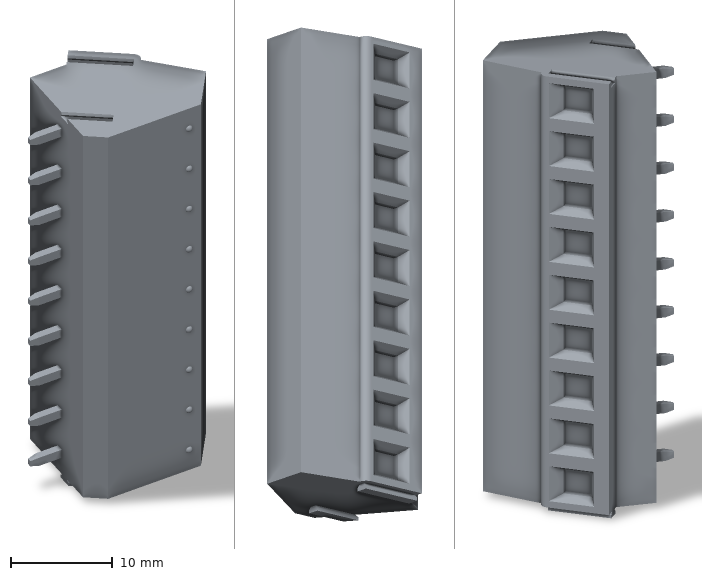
import cadquery as cq
import math


POLES = 9
BODY_HEIGHT = 45.7
PITCH = BODY_HEIGHT / POLES

BODY_WIDTH = 12.0
BODY_DEPTH = 15.55
PEAK_X = 7.75
RIGHT_FACE_TOP = 12.55
CHAMFER_START_X = 10.55
CHAMFER_END_Y = 2.05

LIP_ANGLE = 55.0
LIP_TIP = (-1.85, 5.4)
LIP_LENGTH = 6.5
LIP_ROUND_END = (3.0, 10.9)

MOUTH_LENGTH = 4.7
MOUTH_HEIGHT = 3.7
MOUTH_CENTRE = 3.9
THROAT_LENGTH = 2.95
THROAT_HEIGHT = 2.6
THROAT_CENTRE = 3.6
FUNNEL_DEPTH = 1.1
THROAT_DEPTH = 0.65

PIN_X = 5.95
PIN_WIDTH = 0.8
PIN_HEIGHT = 1.0
PIN_TIP_WIDTH = 0.45
PIN_TIP_HEIGHT = 0.65
PIN_SHANK = 2.55
PIN_TIP = 0.93

BUMP_Y = 11.2
BUMP_RADIUS = 0.35
BUMP_RISE = 0.3

RIB_NECK = 0.75
GROOVE_NECK = 1.05
GROOVE_WAIST = 0.85
DOVETAIL_WIDTH = 1.25
DOVETAIL_SHOULDER = 0.3
DOVETAIL_RISE = 0.6
LIP_DOVETAIL_OFFSET = 1.35
LIP_DOVETAIL_LENGTH = 6.6
PIN_DOVETAIL_X = 6.85
PIN_DOVETAIL_LENGTH = 4.8

ALONG_X = math.cos(math.radians(LIP_ANGLE))
ALONG_Y = math.sin(math.radians(LIP_ANGLE))
INWARD_X = ALONG_Y
INWARD_Y = -ALONG_X


def pole_heights():
    return [(pole + 0.5) * PITCH for pole in range(POLES)]


def make_housing():
    lip_tip_x, lip_tip_y = LIP_TIP
    lip_top = (lip_tip_x + LIP_LENGTH * ALONG_X, lip_tip_y + LIP_LENGTH * ALONG_Y)
    left_face_top = lip_tip_y + lip_tip_x * ALONG_X / ALONG_Y
    return (
        cq.Workplane("XY")
        .moveTo(0, left_face_top)
        .lineTo(*LIP_TIP)
        .lineTo(*lip_top)
        .tangentArcPoint(LIP_ROUND_END, relative=False)
        .lineTo(PEAK_X, BODY_DEPTH)
        .lineTo(BODY_WIDTH, RIGHT_FACE_TOP)
        .lineTo(BODY_WIDTH, CHAMFER_END_Y)
        .lineTo(CHAMFER_START_X, 0)
        .lineTo(0, 0)
        .close()
        .extrude(BODY_HEIGHT)
    )


def make_wire_entry(height):
    lip_face = cq.Plane(
        origin=(*LIP_TIP, height),
        xDir=(ALONG_X, ALONG_Y, 0),
        normal=(INWARD_X, INWARD_Y, 0),
    )
    funnel = (
        cq.Workplane(lip_face)
        .center(MOUTH_CENTRE, 0)
        .rect(MOUTH_LENGTH, MOUTH_HEIGHT)
        .workplane(offset=FUNNEL_DEPTH)
        .center(THROAT_CENTRE - MOUTH_CENTRE, 0)
        .rect(THROAT_LENGTH, THROAT_HEIGHT)
        .loft()
    )
    throat = (
        cq.Workplane(lip_face)
        .center(THROAT_CENTRE, 0)
        .rect(THROAT_LENGTH, THROAT_HEIGHT)
        .extrude(FUNNEL_DEPTH + THROAT_DEPTH)
    )
    return funnel.union(throat)


def make_pin(height):
    shank = cq.Workplane("XZ").center(PIN_X, height).rect(PIN_WIDTH, PIN_HEIGHT).extrude(PIN_SHANK)
    tip = (
        shank.faces("<Y")
        .workplane(centerOption="CenterOfMass")
        .rect(PIN_WIDTH, PIN_HEIGHT)
        .workplane(offset=PIN_TIP)
        .rect(PIN_TIP_WIDTH, PIN_TIP_HEIGHT)
        .loft(combine=False)
    )
    return shank.union(tip)


def make_bump(height):
    ball_radius = (BUMP_RADIUS**2 + BUMP_RISE**2) / (2 * BUMP_RISE)
    half_angle = math.asin(BUMP_RADIUS / ball_radius) / 2
    arc_middle = (
        BUMP_RISE - ball_radius * (1 - math.cos(half_angle)),
        ball_radius * math.sin(half_angle),
    )
    return (
        cq.Workplane("XY", origin=(BODY_WIDTH, BUMP_Y, height))
        .lineTo(0, BUMP_RADIUS)
        .threePointArc(arc_middle, (BUMP_RISE, 0))
        .close()
        .revolve(360, (0, 0), (1, 0))
    )


def make_dovetail(start, length, base_height, neck, shoulder_width):
    section_plane = cq.Plane(
        origin=(*start, base_height),
        xDir=(INWARD_X, INWARD_Y, 0),
        normal=(ALONG_X, ALONG_Y, 0),
    )
    right_side = [
        (neck / 2, 0),
        (shoulder_width / 2, DOVETAIL_SHOULDER),
        (DOVETAIL_WIDTH / 2, DOVETAIL_RISE),
    ]
    left_side = [(-x, y) for x, y in reversed(right_side)]
    return cq.Workplane(section_plane).polyline(right_side + left_side).close().extrude(length)


def make_dovetails(base_height, neck, shoulder_width):
    lip_tip_x, lip_tip_y = LIP_TIP
    lip_start = (
        lip_tip_x + LIP_DOVETAIL_OFFSET * INWARD_X,
        lip_tip_y + LIP_DOVETAIL_OFFSET * INWARD_Y,
    )
    overrun = DOVETAIL_WIDTH
    pin_start = (PIN_DOVETAIL_X - overrun * ALONG_X, -overrun * ALONG_Y)
    behind_pin_face = cq.Workplane("XY").box(
        BODY_WIDTH, BODY_DEPTH, 2 * (BODY_HEIGHT + DOVETAIL_RISE), centered=(False, False, True)
    )
    lip_dovetail = make_dovetail(lip_start, LIP_DOVETAIL_LENGTH, base_height, neck, shoulder_width)
    pin_length = PIN_DOVETAIL_LENGTH + overrun
    pin_dovetail = make_dovetail(pin_start, pin_length, base_height, neck, shoulder_width)
    return lip_dovetail.union(pin_dovetail.intersect(behind_pin_face))


ribs = make_dovetails(0, RIB_NECK, DOVETAIL_WIDTH)
grooves = make_dovetails(BODY_HEIGHT, GROOVE_NECK, GROOVE_WAIST)
housing = make_housing().cut(grooves).union(ribs)
for pole_height in pole_heights():
    housing = (
        housing.cut(make_wire_entry(pole_height))
        .union(make_pin(pole_height))
        .union(make_bump(pole_height))
    )

result = housing